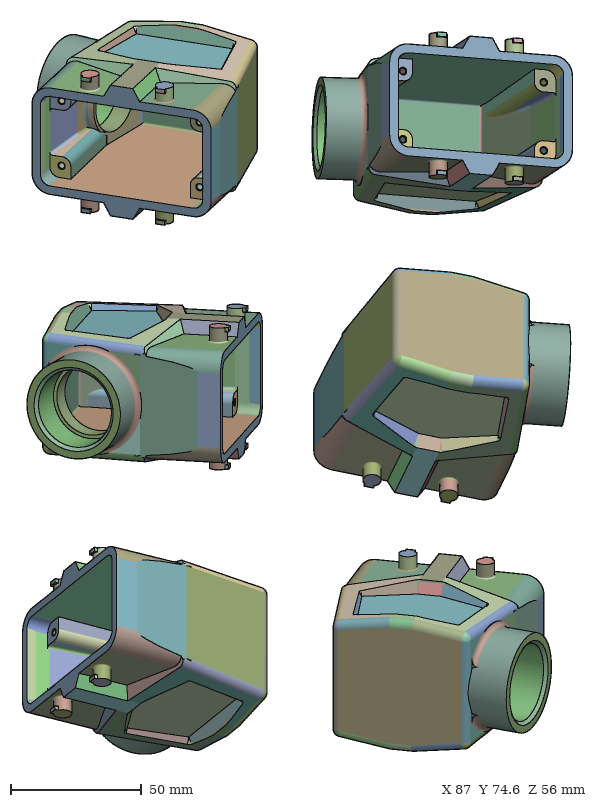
import cadquery as cq
import math


def tan(degrees):
    """Tangent of an angle in degrees."""
    return math.tan(math.radians(degrees))



MOUTH_WIDTH = 74.0
MOUTH_HEIGHT = 44.0
MOUTH_CORNER_RADIUS = 7.5
MOUTH_BLOCK_DEPTH = 34.0
WALL = 3.5

BODY_DEPTH = 72.5
STRAIGHT_DEPTH = 9.0
CREASE_Y = 32.0
CREASE_HALF_WIDTH = 34.8
SIDE_ANGLE = 11.0

RIDGE_HEIGHT = 27.0
RIDGE_HALF_WIDTH = 4.6
ROOF_SLOPE = 8.6
HOOD_FILLET = 3.2

FACE_DRAFT = 30.0
STEP_ANGLE = 20.0
STEP_CORNER_Y = 20.9

RECESS_FRONT_Y = 30.9
RECESS_CORNER_Y = 38.9
RECESS_BACK_Y = 63.2
RECESS_BACK_HALF_WIDTH = 19.8
RECESS_CORNER_RADIUS = 1.2

PORT_RADIUS = 19.5
PORT_END_X = -46.29
PORT_END_Y = 55.5
PORT_CHAMFER_RADIUS = 16.5
PORT_BORE_RADIUS = 15.2
PORT_BORE_DEPTH = 15.6
PORT_HOLE_RADIUS = 13.8
PORT_PAD_RADIUS = 15.2
PORT_PAD_DEPTH = 23.3
PORT_PAD_THICKNESS = 6.0
PORT_PAD_SLAB_START = 6.0
PORT_FILLET = 2.0

CAVITY_DRAFT = 0.9
CAVITY_FILLET = 0.8
POST_ROOT_FILLET = 1.0
PAD_FOOT_FILLET = 1.3
POST_FACE_Y = 9.0
POST_INNER_X = 24.7
POST_INNER_Z = 9.6
POST_CORNER_RADIUS = 3.5
SCREW_X = 28.5
SCREW_Z = 13.4
SCREW_HOLE_DIAMETER = 2.4
SCREW_HOLE_DEPTH = 15.0
SCREW_CHAMFER = 0.3

PIN_X = 15.4
PIN_Y = 5.6
PIN_DIAMETER = 7.0
PIN_TOP_Z = 28.0
PIN_ROOT_FILLET = 0.5
PIN_TAB_WIDTH = 3.7
PIN_TAB_END_Y = 1.3
PIN_TAB_HEIGHT = 1.7

FLAT_Z = MOUTH_HEIGHT / 2
MOUTH_HALF_WIDTH = MOUTH_WIDTH / 2
BACK_HALF_WIDTH = CREASE_HALF_WIDTH - (BODY_DEPTH - CREASE_Y) * tan(SIDE_ANGLE)
RIB_FOOT_HALF_WIDTH = RIDGE_HALF_WIDTH + (RIDGE_HEIGHT - FLAT_Z) * tan(FACE_DRAFT)
WALL_X = WALL / math.cos(math.radians(SIDE_ANGLE))
CAVITY_DEPTH = BODY_DEPTH - WALL

CLEARANCE = 10.0
OVERCUT = 1.0
TOLERANCE = 0.01


def mouth_prism(inset, depth, draft=0.0):
    """Rounded rectangle of the mouth, inset by a wall and extruded from Y = 0 towards +Y."""
    return (
        cq.Workplane("XZ")
        .sketch()
        .rect(MOUTH_WIDTH - 2 * inset, MOUTH_HEIGHT - 2 * inset)
        .vertices()
        .fillet(MOUTH_CORNER_RADIUS - inset)
        .finalize()
        .extrude(-depth, taper=draft)
    )


def plan_prism(wall_x=0.0, wall_y=0.0):
    """Plan outline of the body, moved inwards by the given walls, as a tall prism."""
    mouth_x = MOUTH_HALF_WIDTH - wall_x
    crease_x = CREASE_HALF_WIDTH - wall_x
    back_y = BODY_DEPTH - wall_y
    back_x = BACK_HALF_WIDTH - wall_x + wall_y * tan(SIDE_ANGLE)
    right_side = [(mouth_x, 0), (mouth_x, STRAIGHT_DEPTH), (crease_x, CREASE_Y), (back_x, back_y)]
    left_side = [(-x, y) for x, y in reversed(right_side)]
    return (
        cq.Workplane("XY")
        .polyline(right_side + left_side)
        .close()
        .extrude(RIDGE_HEIGHT + CLEARANCE, both=True)
    )


def gabled_hood():
    """Double-gabled prism with tapered sides and rounded side, back and corner edges."""
    reach = MOUTH_HALF_WIDTH + CLEARANCE
    eave_z = RIDGE_HEIGHT - (reach - RIDGE_HALF_WIDTH) * tan(ROOF_SLOPE)
    roof = [
        (-reach, eave_z),
        (-RIDGE_HALF_WIDTH, RIDGE_HEIGHT),
        (RIDGE_HALF_WIDTH, RIDGE_HEIGHT),
        (reach, eave_z),
    ]
    underside = [(x, -z) for x, z in reversed(roof)]
    gable = cq.Workplane("XZ").polyline(roof + underside).close().extrude(-BODY_DEPTH)
    front_x = BACK_HALF_WIDTH + BODY_DEPTH * tan(SIDE_ANGLE)
    sides = (
        cq.Workplane("XY")
        .polyline([
            (-front_x, 0),
            (front_x, 0),
            (BACK_HALF_WIDTH, BODY_DEPTH),
            (-BACK_HALF_WIDTH, BODY_DEPTH),
        ])
        .close()
        .extrude(RIDGE_HEIGHT, both=True)
    )
    hood = gable.intersect(sides)
    rounded_edges = [
        edge
        for edge in hood.edges("not(<Y)").vals()
        if abs(edge.Center().x) > RIB_FOOT_HALF_WIDTH or edge.Center().y > BODY_DEPTH - HOOD_FILLET
    ]
    return hood.newObject(rounded_edges).fillet(HOOD_FILLET)


def drafted_wall_side(corner, wall_direction):
    """Everything on the open side of a drafted wall that stands on the flat at the given corner.

    The wall leans back by FACE_DRAFT as it rises; seen along wall_direction it lies on the left.
    """
    section = cq.Plane(
        origin=(corner[0], corner[1], FLAT_Z),
        xDir=(wall_direction[1], -wall_direction[0], 0),
        normal=(-wall_direction[0], -wall_direction[1], 0),
    )
    reach = 2 * BODY_DEPTH
    low = -MOUTH_CORNER_RADIUS
    high = RIDGE_HEIGHT - FLAT_Z + OVERCUT
    return (
        cq.Workplane(section)
        .polyline([
            (-low * tan(FACE_DRAFT), low),
            (-high * tan(FACE_DRAFT), high),
            (reach, high),
            (reach, low),
        ])
        .close()
        .extrude(reach, both=True)
    )


def roof_step():
    """Cutter for the lowered area on the +X side of the rib."""
    corner = (RIB_FOOT_HALF_WIDTH, STEP_CORNER_Y)
    angle = math.radians(STEP_ANGLE)
    beside_rib = drafted_wall_side(corner, (0, 1))
    before_hood = drafted_wall_side(corner, (math.cos(angle), math.sin(angle)))
    return beside_rib.intersect(before_hood)


def label_recess():
    """Cutter for the recess, whose drafted walls widen upwards from a flat floor."""
    corner_x = RECESS_BACK_HALF_WIDTH + (RECESS_BACK_Y - RECESS_CORNER_Y) * tan(SIDE_ANGLE)
    right_side = [
        (RIDGE_HALF_WIDTH, RECESS_FRONT_Y),
        (corner_x, RECESS_CORNER_Y),
        (RECESS_BACK_HALF_WIDTH, RECESS_BACK_Y),
    ]
    left_side = [(-x, y) for x, y in reversed(right_side)]
    recess = (
        cq.Workplane("XY", origin=(0, 0, FLAT_Z))
        .polyline(right_side + left_side)
        .close()
        .extrude(RIDGE_HEIGHT - FLAT_Z + OVERCUT, taper=-FACE_DRAFT)
    )
    side_corners = [
        edge
        for edge in recess.edges("not(#Z)").vals()
        if abs(edge.Center().x) > RIDGE_HALF_WIDTH * 2
    ]
    return recess.newObject(side_corners).fillet(RECESS_CORNER_RADIUS)


def both_faces(feature):
    """A feature of the +Z face together with its mirror image on the -Z face."""
    return feature.union(feature.mirror("XY"))


def port_plane(depth):
    """Plane across the port axis, at a depth from the end face, with its normal pointing inwards."""
    angle = math.radians(SIDE_ANGLE)
    inward = cq.Vector(math.cos(angle), -math.sin(angle), 0)
    return cq.Plane(
        origin=cq.Vector(PORT_END_X, PORT_END_Y, 0) + inward * depth,
        xDir=(math.sin(angle), math.cos(angle), 0),
        normal=inward,
    )


def revolve_about_port(profile):
    """Revolve a profile about the port axis; its radii run outwards, its heights along the axis."""
    solid = profile.close().revolve(360, (0, 0), (0, 1)).val()
    return cq.Workplane(solid.moved(cq.Location(port_plane(0))))


def port_passage():
    """Stepped bore of the port with a chamfered entry."""
    chamfer = PORT_CHAMFER_RADIUS - PORT_BORE_RADIUS
    end_depth = PORT_PAD_DEPTH + OVERCUT
    return revolve_about_port(
        cq.Workplane("XZ").polyline([
            (0, 0),
            (PORT_CHAMFER_RADIUS, 0),
            (PORT_BORE_RADIUS, chamfer),
            (PORT_BORE_RADIUS, PORT_BORE_DEPTH),
            (PORT_HOLE_RADIUS, PORT_BORE_DEPTH),
            (PORT_HOLE_RADIUS, end_depth),
            (0, end_depth),
        ])
    )


def port_tube():
    """Outside of the port, flared by a concave round where it meets the side wall."""
    angle = math.radians(SIDE_ANGLE)
    wall_depth = (
        (-CREASE_HALF_WIDTH - PORT_END_X) * math.cos(angle)
        - (CREASE_Y - PORT_END_Y) * math.sin(angle)
    )
    root_depth = wall_depth + WALL / 2
    root_radius = PORT_RADIUS + PORT_FILLET
    tube = revolve_about_port(
        cq.Workplane("XZ").polyline([
            (0, 0),
            (PORT_RADIUS, 0),
            (PORT_RADIUS, root_depth),
            (0, root_depth),
        ])
    )
    flare = revolve_about_port(
        cq.Workplane("XZ")
        .moveTo(0, wall_depth - PORT_FILLET)
        .lineTo(PORT_RADIUS, wall_depth - PORT_FILLET)
        .radiusArc((root_radius, wall_depth), PORT_FILLET)
        .lineTo(root_radius, root_depth)
        .lineTo(0, root_depth)
    )
    flat_wall_end = BODY_DEPTH - HOOD_FILLET
    before_back_round = cq.Workplane("XY").box(2 * BODY_DEPTH, 2 * flat_wall_end, 2 * BODY_DEPTH)
    return flare.intersect(before_back_round).union(tube)


def port_pad():
    """Thickening of the side wall around the port hole, running on to the back wall."""
    base = port_plane(PORT_PAD_DEPTH - PORT_PAD_THICKNESS)
    disc = cq.Workplane(base).circle(PORT_PAD_RADIUS).extrude(PORT_PAD_THICKNESS)
    slab = (
        cq.Workplane(base)
        .center(BODY_DEPTH / 2 - PORT_PAD_SLAB_START, 0)
        .rect(BODY_DEPTH, MOUTH_HEIGHT)
        .extrude(PORT_PAD_THICKNESS)
    )
    return disc.union(slab)


def screw_posts():
    """Four corner posts running from POST_FACE_Y to beyond the back wall."""
    width = MOUTH_HALF_WIDTH - POST_INNER_X
    height = FLAT_Z - POST_INNER_Z
    posts = cq.Workplane("XY")
    for side in (1, -1):
        for level in (1, -1):
            post = (
                cq.Workplane("XY")
                .box(width, BODY_DEPTH, height, centered=False)
                .edges("|Y and <X and <Z")
                .fillet(POST_CORNER_RADIUS)
                .translate((POST_INNER_X, POST_FACE_Y, POST_INNER_Z))
            )
            if side < 0:
                post = post.mirror("YZ")
            if level < 0:
                post = post.mirror("XY")
            posts = posts.union(post)
    return posts


def room_between_posts(hollow):
    """The hollow less the screw posts, rounded where the posts meet the side walls."""
    room = hollow.cut(screw_posts())

    def runs_along_post_root(edge):
        box = edge.BoundingBox()
        on_post_side = math.isclose(abs(edge.Center().z), POST_INNER_Z, abs_tol=TOLERANCE)
        level = box.zlen < TOLERANCE
        slanted = min(box.xlen, box.ylen) > POST_ROOT_FILLET
        return on_post_side and level and slanted

    roots = [edge for edge in room.edges().vals() if runs_along_post_root(edge)]
    return room.newObject(roots).fillet(POST_ROOT_FILLET)


def room_beside_pad(hollow):
    """The hollow less the port pad, rounded along the back wall and around the foot of the pad."""
    room = hollow.cut(port_pad()).faces(">Y").edges().fillet(CAVITY_FILLET)
    pad_foot = [
        edge
        for edge in room.edges("%CIRCLE").vals()
        if edge.Center().x < -POST_INNER_X - POST_CORNER_RADIUS
        and edge.BoundingBox().zlen > PORT_PAD_RADIUS
    ]
    return room.newObject(pad_foot).fillet(PAD_FOOT_FILLET)


def cavity():
    """Inner space of the hood, open at the mouth."""
    hollow = mouth_prism(WALL, CAVITY_DEPTH, CAVITY_DRAFT).intersect(plan_prism(WALL_X, WALL))
    return room_between_posts(hollow).intersect(room_beside_pad(hollow))


def screw_holes():
    """Blind holes in the post faces, each with a small countersink."""
    radius = SCREW_HOLE_DIAMETER / 2
    hole = (
        cq.Workplane("XY")
        .polyline([
            (0, 0),
            (radius + SCREW_CHAMFER, 0),
            (radius, SCREW_CHAMFER),
            (radius, SCREW_HOLE_DEPTH),
            (0, SCREW_HOLE_DEPTH),
        ])
        .close()
        .revolve(360, (0, 0), (0, 1))
    )
    holes = cq.Workplane("XY")
    for x in (SCREW_X, -SCREW_X):
        for z in (SCREW_Z, -SCREW_Z):
            holes = holes.union(hole.translate((x, POST_FACE_Y, z)))
    return holes


def pin(x):
    """Locking pin on the +Z flat, with a rounded root and a tab pointing to the mouth."""
    radius = PIN_DIAMETER / 2
    height = PIN_TOP_Z - FLAT_Z
    root = radius + PIN_ROOT_FILLET
    shaft = (
        cq.Workplane("XZ")
        .moveTo(0, -OVERCUT)
        .lineTo(root, -OVERCUT)
        .lineTo(root, 0)
        .radiusArc((radius, PIN_ROOT_FILLET), PIN_ROOT_FILLET)
        .lineTo(radius, height)
        .lineTo(0, height)
        .close()
        .revolve(360, (0, 0), (0, 1))
    )
    tab_length = PIN_Y - PIN_TAB_END_Y
    tab = (
        cq.Workplane("XY")
        .box(PIN_TAB_WIDTH, tab_length, PIN_TAB_HEIGHT, centered=(True, False, False))
        .translate((0, -tab_length, height - PIN_TAB_HEIGHT))
    )
    return shaft.union(tab).translate((x, PIN_Y, FLAT_Z))


hood = gabled_hood()
right_steps = both_faces(roof_step())
hood = hood.cut(right_steps).cut(right_steps.mirror("YZ"))
hood = hood.cut(both_faces(label_recess()))
body = hood.union(mouth_prism(0, MOUTH_BLOCK_DEPTH)).intersect(plan_prism())

body = body.union(port_tube())
body = body.cut(cavity()).cut(port_passage()).cut(screw_holes())
for x in (PIN_X, -PIN_X):
    body = body.union(both_faces(pin(x)))

result = body